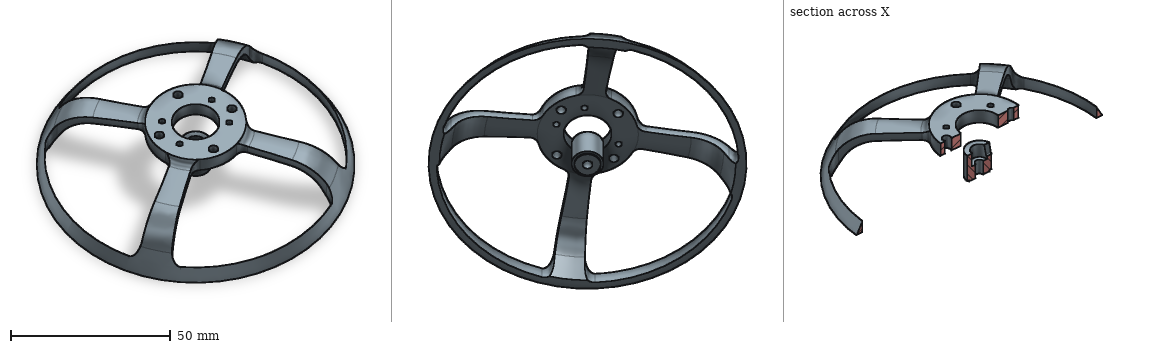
import cadquery as cq
import math

rim_radius = 50.0
rim_top_radius = 47.5
rim_height = 4.5
shell_thickness = 3.0
shoulder_radius = 16.0
hub_radius = 15.9
hub_top = 20.0
hub_thickness = 5.0
hub_bore_diameter = 15.0
hub_bottom = hub_top - hub_thickness
spoke_root_radius = 18.5
spoke_root_top = 17.7
root_arc_sag = 0.4
spoke_slope_angle = 5.0

spoke_count = 4
spoke_pitch = 360 / spoke_count
spoke_angle = 44.0
spoke_inner_half_width = 3.5
spoke_middle_half_width = 3.9
spoke_middle_radius = 30.0
spoke_outer_half_width = 5.2
window_outer_fillet = 3.0
window_inner_fillet = 3.2

large_hole_diameter = 3.0
large_hole_circle_radius = 12.7
large_hole_angle = -4.0
small_hole_diameter = 2.0
small_hole_spacing_x = 11.0
small_hole_spacing_y = 18.0

bushing_diameter = 10.0
bushing_top = 10.0
bushing_foot_diameter = 8.3
bushing_foot_height = 0.5
bushing_bore_diameter = 3.1
bushing_counterbore_diameter = 6.0
counterbore_depth = 5.0
notch_depth = 3.9
notch_top_width = 2.2
notch_bottom_width = 1.0


def shell_corner(rim_start, top_start, top_height):
    """Point where the rim cone meets the gently falling spoke line."""
    cone_run = (rim_radius - rim_top_radius) / rim_height
    fall = math.tan(math.radians(spoke_slope_angle))
    height = (top_height - fall * (rim_start - top_start)) / (1 - fall * cone_run)
    return rim_start - cone_run * height, height


def rounded_corner(start, corner, end, radius):
    """Start, middle and end of the arc that rounds a corner between two lines."""
    to_start = cq.Vector(*start).sub(cq.Vector(*corner)).normalized()
    to_end = cq.Vector(*end).sub(cq.Vector(*corner)).normalized()
    half_angle = to_start.getAngle(to_end) / 2
    tangent_length = radius / math.tan(half_angle)
    center_distance = radius / math.sin(half_angle)
    bisector = to_start.add(to_end).normalized()
    base = cq.Vector(*corner)
    arc = (
        base.add(to_start.multiply(tangent_length)),
        base.add(bisector.multiply(center_distance - radius)),
        base.add(to_end.multiply(tangent_length)),
    )
    return [(point.x, point.y) for point in arc]


def turned_shell():
    """Hub, spoke disc and rim as one body of revolution."""
    cone_angle = math.atan2(rim_radius - rim_top_radius, rim_height)
    inner_rim = (rim_radius - shell_thickness / math.cos(cone_angle), 0)
    outer_rim = (rim_radius, 0)
    spoke_root = (spoke_root_radius, spoke_root_top)
    hub_edge = (hub_radius, hub_bottom)

    outer_corner = shell_corner(rim_radius, *spoke_root)
    inner_corner = shell_corner(inner_rim[0], *hub_edge)
    outer_arc = rounded_corner(outer_rim, outer_corner, spoke_root, shoulder_radius)
    inner_arc = rounded_corner(hub_edge, inner_corner, inner_rim, shoulder_radius - shell_thickness)

    root_middle = (
        (hub_radius + spoke_root_radius) / 2 - root_arc_sag,
        (hub_top + spoke_root_top) / 2 - root_arc_sag,
    )

    return (
        cq.Workplane("XZ")
        .moveTo(*outer_rim)
        .lineTo(*outer_arc[0])
        .threePointArc(*outer_arc[1:])
        .lineTo(*spoke_root)
        .threePointArc(root_middle, (hub_radius, hub_top))
        .lineTo(hub_bore_diameter / 2, hub_top)
        .lineTo(hub_bore_diameter / 2, hub_bottom)
        .lineTo(*hub_edge)
        .lineTo(*inner_arc[0])
        .threePointArc(*inner_arc[1:])
        .lineTo(*inner_rim)
        .close()
        .revolve(360, (0, 0, 0), (0, 1, 0))
    )


def window_cutter():
    """Window between a spoke along +X and the next one along +Y."""
    def along_spoke(radius, half_width):
        return math.sqrt(radius**2 - half_width**2), half_width

    inner = along_spoke(hub_radius, spoke_inner_half_width)
    middle = along_spoke(spoke_middle_radius, spoke_middle_half_width)
    outer = along_spoke(rim_top_radius, spoke_outer_half_width)
    diagonal = math.sqrt(0.5)
    window = (
        cq.Workplane("XY")
        .moveTo(*inner)
        .threePointArc(middle, outer)
        .threePointArc((rim_top_radius * diagonal, rim_top_radius * diagonal), outer[::-1])
        .threePointArc(middle[::-1], inner[::-1])
        .threePointArc((hub_radius * diagonal, hub_radius * diagonal), inner)
        .close()
        .extrude(hub_top)
    )
    for corner, fillet in (
        (outer, window_outer_fillet),
        (inner, window_inner_fillet),
    ):
        for x, y in (corner, corner[::-1]):
            edge = cq.selectors.NearestToPointSelector((x, y, hub_top / 2))
            window = window.edges("|Z").edges(edge).fillet(fillet)
    return window


def hub_holes():
    """Four bolt holes on a circle and four smaller ones on a rectangle."""
    large = (
        cq.Workplane("XY")
        .polarArray(large_hole_circle_radius, large_hole_angle, 360, 4)
        .circle(large_hole_diameter / 2)
        .extrude(hub_top)
    )
    small = (
        cq.Workplane("XY")
        .rarray(small_hole_spacing_x, small_hole_spacing_y, 2, 2)
        .circle(small_hole_diameter / 2)
        .extrude(hub_top)
    )
    return large, small


def make_wheel():
    wheel = turned_shell()
    window = window_cutter()
    for index in range(spoke_count):
        angle = spoke_angle + index * spoke_pitch
        wheel = wheel.cut(window.rotate((0, 0, 0), (0, 0, 1), angle))
    for holes in hub_holes():
        wheel = wheel.cut(holes)
    return wheel


def notch_cutter():
    """Tapered, round-bottomed notch that opens the -Y side of the counterbore."""
    bottom = bushing_top - notch_depth
    half_bottom = notch_bottom_width / 2
    return (
        cq.Workplane("XZ")
        .moveTo(-notch_top_width / 2, bushing_top)
        .lineTo(-half_bottom, bottom + half_bottom)
        .threePointArc((0, bottom), (half_bottom, bottom + half_bottom))
        .lineTo(notch_top_width / 2, bushing_top)
        .close()
        .extrude(bushing_diameter)
    )


def make_bushing():
    foot = (
        cq.Workplane("XY", origin=(0, 0, -bushing_foot_height))
        .circle(bushing_foot_diameter / 2)
        .extrude(bushing_foot_height)
    )
    sleeve = cq.Workplane("XY").circle(bushing_diameter / 2).extrude(bushing_top)
    bushing = sleeve.union(foot).cut(notch_cutter())
    return bushing.faces(">Z").workplane(origin=(0, 0, 0)).cboreHole(
        bushing_bore_diameter, bushing_counterbore_diameter, counterbore_depth
    )


wheel = make_wheel()
bushing = make_bushing()
result = cq.Compound.makeCompound([wheel.val(), bushing.val()])